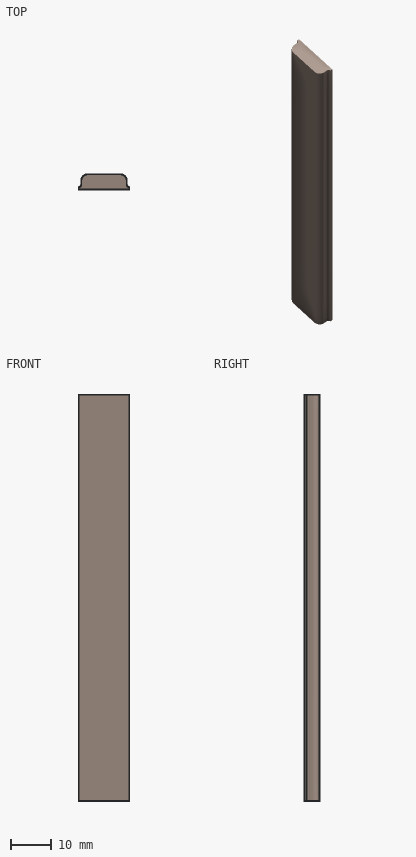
import cadquery as cq
import math

length = 101.6
base_width = 12.7
height = 3.9
lip_thickness = 0.6
cove_radius = 0.6
crown_radius = 1.7

half_base = base_width / 2
half_wall = half_base - cove_radius
cove_end = lip_thickness + cove_radius
crown_start = height - crown_radius
half_crown = half_wall - crown_radius
diagonal = math.sqrt(0.5)


def bar_profile():
    """Closed cross-section: thin lip, coved side walls and rounded crown."""
    cove_mid_x = half_base - cove_radius * diagonal
    cove_mid_y = cove_end - cove_radius * diagonal
    crown_mid_x = half_crown + crown_radius * diagonal
    crown_mid_y = crown_start + crown_radius * diagonal
    return (
        cq.Workplane("XY")
        .moveTo(-half_base, 0)
        .lineTo(half_base, 0)
        .lineTo(half_base, lip_thickness)
        .threePointArc((cove_mid_x, cove_mid_y), (half_wall, cove_end))
        .lineTo(half_wall, crown_start)
        .threePointArc((crown_mid_x, crown_mid_y), (half_crown, height))
        .lineTo(-half_crown, height)
        .threePointArc((-crown_mid_x, crown_mid_y), (-half_wall, crown_start))
        .lineTo(-half_wall, cove_end)
        .threePointArc((-cove_mid_x, cove_mid_y), (-half_base, lip_thickness))
        .close()
    )


result = bar_profile().extrude(length)